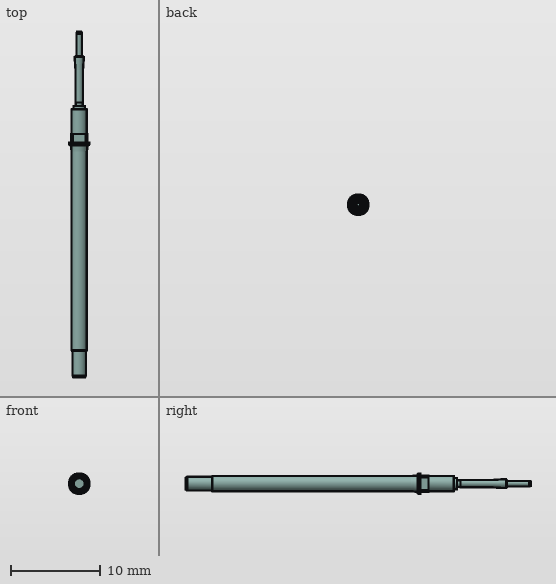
import cadquery as cq


overall_length = 38.8
tail_end_y = 12.4
plunger_end_y = tail_end_y - overall_length

plunger_diameter = 1.56
plunger_chamfer_length = 0.25
plunger_chamfer_depth = 0.16

barrel_diameter = 1.74
barrel_front_y = -23.4
barrel_edge_chamfer = 0.07
barrel_rear_y = 3.75
press_fit_front_y = -1.05
press_fit_diameter = 1.87

collar_diameter = 2.3
collar_rim_width = 0.22
collar_cone_width = 0.15

square_width = 1.82
square_length = 0.9

step_diameter = 1.3
step_rear_y = 4.08

shank_diameter = 0.86
neck_diameter = 0.8
neck_rear_y = 4.45
ring_diameter = 1.02
ring_front_y = 9.2
ring_chamfer_y = 9.55
ring_rear_y = 9.7
shank_taper_y = 8.08
pin_diameter = 0.65
pin_chamfer_length = 0.25
pin_chamfer_depth = 0.1


def turned_body():
    """Revolve the stepped half profile about the Y axis."""
    plunger_radius = plunger_diameter / 2
    barrel_radius = barrel_diameter / 2
    press_fit_radius = press_fit_diameter / 2
    collar_radius = collar_diameter / 2
    step_radius = step_diameter / 2
    neck_radius = neck_diameter / 2
    shank_radius = shank_diameter / 2
    ring_radius = ring_diameter / 2
    pin_radius = pin_diameter / 2
    collar_front_y = -collar_rim_width - collar_cone_width

    profile = (
        cq.Workplane("XY")
        .moveTo(0, plunger_end_y)
        .lineTo(plunger_radius - plunger_chamfer_depth, plunger_end_y)
        .lineTo(plunger_radius, plunger_end_y + plunger_chamfer_length)
        .lineTo(plunger_radius, barrel_front_y)
        .lineTo(barrel_radius - barrel_edge_chamfer, barrel_front_y)
        .lineTo(barrel_radius, barrel_front_y + barrel_edge_chamfer)
        .lineTo(barrel_radius, press_fit_front_y)
        .lineTo(press_fit_radius, collar_front_y)
        .lineTo(collar_radius - collar_cone_width, collar_front_y)
        .lineTo(collar_radius, -collar_rim_width)
        .lineTo(collar_radius, 0)
        .lineTo(barrel_radius, 0)
        .lineTo(barrel_radius, barrel_rear_y - barrel_edge_chamfer)
        .lineTo(barrel_radius - barrel_edge_chamfer, barrel_rear_y)
        .lineTo(step_radius, barrel_rear_y)
        .lineTo(step_radius, step_rear_y)
        .lineTo(neck_radius, step_rear_y)
        .lineTo(neck_radius, neck_rear_y)
        .lineTo(shank_radius, neck_rear_y)
        .lineTo(shank_radius, shank_taper_y)
        .lineTo(ring_radius, ring_front_y)
        .lineTo(ring_radius, ring_chamfer_y)
        .lineTo(pin_radius, ring_rear_y)
        .lineTo(pin_radius, tail_end_y - pin_chamfer_length)
        .lineTo(pin_radius - pin_chamfer_depth, tail_end_y)
        .lineTo(0, tail_end_y)
        .close()
    )
    return profile.revolve(360, (0, 0, 0), (0, 1, 0))


def square_seat():
    """Square block behind the collar, corners rounded to the collar diameter."""
    block = cq.Workplane("XY").box(square_width, square_length, square_width)
    block = block.translate((0, square_length / 2, 0))
    corner_turning = cq.Workplane("XZ").circle(collar_diameter / 2).extrude(-square_length)
    return block.intersect(corner_turning)


result = turned_body().union(square_seat())